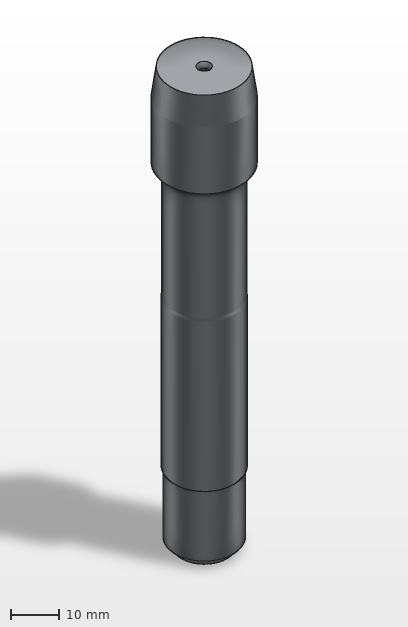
import cadquery as cq
import math

total_length = 125.0
head_taper_length = 7.8
head_underside_z = 100.0
neck_fillet_end_z = 97.9
shaft_step_top_z = 65.8
shaft_step_bottom_z = 65.0
tail_step_top_z = 20.8
tail_step_bottom_z = 20.4
tail_chamfer_height = 2.2

head_diameter = 22.1
head_top_diameter = 20.0
neck_diameter = 17.8
shaft_diameter = 18.0
tail_diameter = 17.2
tail_end_diameter = 13.5

underside_angle = math.radians(35)
neck_fillet_radius = 1.5

centre_hole_diameter = 2.0
centre_hole_depth = 4.0
countersink_diameter = 3.4
countersink_angle = math.radians(60)
drill_point_angle = math.radians(120)


def cone_height(large_diameter, small_diameter, included_angle):
    return (large_diameter - small_diameter) / 2 / math.tan(included_angle / 2)


def make_body():
    head_radius = head_diameter / 2
    neck_radius = neck_diameter / 2
    shaft_radius = shaft_diameter / 2
    tail_radius = tail_diameter / 2

    fillet_centre_r = neck_radius + neck_fillet_radius

    def fillet_point(angle):
        return (
            fillet_centre_r - neck_fillet_radius * math.cos(angle),
            neck_fillet_end_z + neck_fillet_radius * math.sin(angle),
        )

    fillet_sweep = math.pi / 2 - underside_angle

    return (
        cq.Workplane("XZ")
        .moveTo(0, 0)
        .lineTo(tail_end_diameter / 2, 0)
        .lineTo(tail_radius, tail_chamfer_height)
        .lineTo(tail_radius, tail_step_bottom_z)
        .lineTo(shaft_radius, tail_step_top_z)
        .lineTo(shaft_radius, shaft_step_bottom_z)
        .lineTo(neck_radius, shaft_step_top_z)
        .lineTo(neck_radius, neck_fillet_end_z)
        .threePointArc(fillet_point(fillet_sweep / 2), fillet_point(fillet_sweep))
        .lineTo(head_radius, head_underside_z)
        .lineTo(head_radius, total_length - head_taper_length)
        .lineTo(head_top_diameter / 2, total_length)
        .lineTo(0, total_length)
        .close()
        .revolve(360, (0, 0), (0, 1))
    )


def make_centre_hole():
    hole_radius = centre_hole_diameter / 2
    countersink_depth = cone_height(countersink_diameter, centre_hole_diameter, countersink_angle)
    point_height = cone_height(centre_hole_diameter, 0, drill_point_angle)
    hole_floor_z = total_length - centre_hole_depth
    return (
        cq.Workplane("XZ")
        .moveTo(0, total_length)
        .lineTo(countersink_diameter / 2, total_length)
        .lineTo(hole_radius, total_length - countersink_depth)
        .lineTo(hole_radius, hole_floor_z)
        .lineTo(0, hole_floor_z - point_height)
        .close()
        .revolve(360, (0, 0), (0, 1))
    )


result = make_body().cut(make_centre_hole())